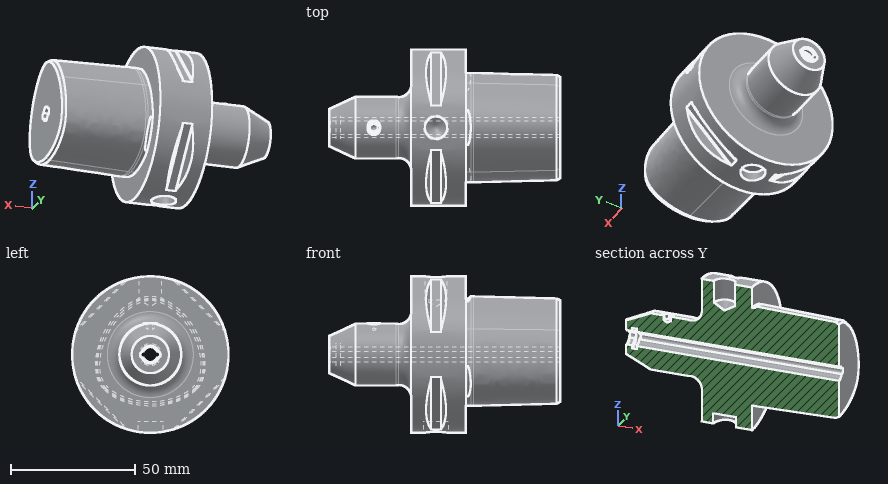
import cadquery as cq
import math

TOTAL_LENGTH = 93.0

TIP_RADIUS = 7.5
NOSE_RADIUS = 12.5
TIP_CONE_ANGLE = math.radians(25)
NOSE_END_X = 27.0
NECK_X = 28.0
NECK_RADIUS = 12.3
NECK_FILLET = 5.0

FLANGE_RADIUS = 31.5
FLANGE_FRONT_X = NECK_X + NECK_FILLET
FLANGE_BACK_X = 55.0
GROOVE_X = 43.0

GROOVE_FLOOR_RADIUS = 27.7
GROOVE_FLOOR_WIDTH = 4.0
GROOVE_WALL_HEIGHT = 0.5
GROOVE_TOP_WIDTH = 8.05
GROOVE_DIRECTIONS = (45, 135, 225, 315)

RIM_HOLE_RADIUS = 4.5
RIM_HOLE_FLOOR_RADIUS = 22.0
LOWER_HOLE_RADIUS = 5.0
LOWER_HOLE_DEPTH = 4.5
DRILL_POINT_ANGLE = math.radians(118)

POLYGON_RADIUS = 22.05
POLYGON_ECCENTRICITY = 1.4
COLLAR_END_X = 57.0
TAPER_START_X = 58.0
TAPER_SLOPE = 1 / 40
END_CHAMFER_LENGTH = 1.5
END_CHAMFER_INSET = 0.85
POLYGON_SEAM_ANGLES = (30, 150, 270)
SEGMENT_SPAN = 120
SEGMENT_STEPS = 16

RELIEF_RADIUS = 22.48
RELIEF_FILLET = 1.5
RELIEF_OUTER_RADIUS = 24.0

BORE_RADIUS = 3.0
MOUTH_CHAMFER = 0.55
RECESS_RADIUS = 4.4
RECESS_START_X = 2.7
RECESS_END_X = 4.7
SLOT_REACH = 4.05
SLOT_RADIUS = 1.25

SCREW_X = 18.0
SCREW_TOP_RADIUS = 2.46
SCREW_TOP_Z = 12.65
SCREW_CHAMFER = 0.54
SCREW_BOTTOM_Z = 8.0
SOCKET_WIDTH = 3.0
SOCKET_DEPTH = 2.0


def make_turned_body():
    """Nose cone, nose cylinder, filleted neck and flange as one turning."""
    cone_length = (NOSE_RADIUS - TIP_RADIUS) / math.tan(TIP_CONE_ANGLE)
    fillet_center = (NECK_X, NECK_RADIUS + NECK_FILLET)
    fillet_middle = (
        fillet_center[0] + NECK_FILLET * math.sin(math.pi / 4),
        fillet_center[1] - NECK_FILLET * math.cos(math.pi / 4),
    )
    return (
        cq.Workplane("XY")
        .moveTo(0, 0)
        .lineTo(0, TIP_RADIUS)
        .lineTo(cone_length, NOSE_RADIUS)
        .lineTo(NOSE_END_X, NOSE_RADIUS)
        .lineTo(NECK_X, NECK_RADIUS)
        .threePointArc(fillet_middle, (FLANGE_FRONT_X, NECK_RADIUS + NECK_FILLET))
        .lineTo(FLANGE_FRONT_X, FLANGE_RADIUS)
        .lineTo(FLANGE_BACK_X, FLANGE_RADIUS)
        .lineTo(FLANGE_BACK_X, 0)
        .close()
        .revolve(360, (0, 0, 0), (1, 0, 0))
    )


def polygon_point(mean_radius, angle_degrees):
    """Point (Y, Z) of the three-lobed curve, where its outward normal has this angle."""
    angle = math.radians(angle_degrees)
    support = mean_radius - POLYGON_ECCENTRICITY * math.sin(3 * angle)
    slope = -3 * POLYGON_ECCENTRICITY * math.cos(3 * angle)
    return (
        support * math.cos(angle) - slope * math.sin(angle),
        support * math.sin(angle) + slope * math.cos(angle),
    )


def polygon_wire(x, mean_radius):
    """Closed three-lobed section at x, split in the middle of each flat side."""
    edges = []
    for seam in POLYGON_SEAM_ANGLES:
        points = []
        for step in range(SEGMENT_STEPS + 1):
            angle = seam + SEGMENT_SPAN * step / SEGMENT_STEPS
            points.append(cq.Vector(x, *polygon_point(mean_radius, angle)))
        tangents = []
        for angle in (seam, seam + SEGMENT_SPAN):
            direction = math.radians(angle)
            tangents.append(cq.Vector(0, -math.sin(direction), math.cos(direction)))
        edges.append(cq.Edge.makeSpline(points, tangents=tangents))
    return cq.Wire.assembleEdges(edges)


def make_shank():
    """Straight collar, tapered polygon and end chamfer."""
    chamfer_x = TOTAL_LENGTH - END_CHAMFER_LENGTH
    taper_end_radius = POLYGON_RADIUS - TAPER_SLOPE * (chamfer_x - TAPER_START_X)
    sections = [
        polygon_wire(FLANGE_BACK_X, POLYGON_RADIUS),
        polygon_wire(COLLAR_END_X, POLYGON_RADIUS),
        polygon_wire(TAPER_START_X, POLYGON_RADIUS),
        polygon_wire(chamfer_x, taper_end_radius),
        polygon_wire(TOTAL_LENGTH, taper_end_radius - END_CHAMFER_INSET),
    ]
    return cq.Workplane(obj=cq.Solid.makeLoft(sections, True))


def make_corner_relief():
    """Ring beside the flange, rounded into a 45 degree run-out that meets the collar end."""
    run_out_angle = math.radians(45)
    half_angle = run_out_angle / 2
    arc_length = RELIEF_FILLET * math.sin(run_out_angle)
    arc_height = RELIEF_FILLET * (1 - math.cos(run_out_angle))
    total_height = POLYGON_RADIUS + POLYGON_ECCENTRICITY - RELIEF_RADIUS
    arc_end_x = COLLAR_END_X - (total_height - arc_height)
    arc_start_x = arc_end_x - arc_length
    arc_middle = (
        arc_start_x + RELIEF_FILLET * math.sin(half_angle),
        RELIEF_RADIUS + RELIEF_FILLET * (1 - math.cos(half_angle)),
    )
    ring_end_x = COLLAR_END_X + RELIEF_OUTER_RADIUS - RELIEF_RADIUS - total_height
    return (
        cq.Workplane("XY")
        .moveTo(FLANGE_BACK_X, RELIEF_RADIUS)
        .lineTo(arc_start_x, RELIEF_RADIUS)
        .threePointArc(arc_middle, (arc_end_x, RELIEF_RADIUS + arc_height))
        .lineTo(ring_end_x, RELIEF_OUTER_RADIUS)
        .lineTo(FLANGE_BACK_X, RELIEF_OUTER_RADIUS)
        .close()
        .revolve(360, (0, 0, 0), (1, 0, 0))
    )


def make_gripper_groove(direction):
    """Straight groove with a flat floor and sloped flanks, facing the given direction."""
    half_floor = GROOVE_FLOOR_WIDTH / 2
    flank_start = GROOVE_FLOOR_RADIUS + GROOVE_WALL_HEIGHT
    half_top = GROOVE_TOP_WIDTH / 2
    return (
        cq.Workplane("XZ")
        .moveTo(GROOVE_X - half_floor, GROOVE_FLOOR_RADIUS)
        .lineTo(GROOVE_X - half_floor, flank_start)
        .lineTo(GROOVE_X - half_top, FLANGE_RADIUS)
        .lineTo(GROOVE_X + half_top, FLANGE_RADIUS)
        .lineTo(GROOVE_X + half_floor, flank_start)
        .lineTo(GROOVE_X + half_floor, GROOVE_FLOOR_RADIUS)
        .close()
        .extrude(FLANGE_RADIUS, both=True)
        .rotate((0, 0, 0), (1, 0, 0), direction)
    )


def make_rim_hole():
    """Radial blind hole from the top of the flange, with a drill-point floor."""
    point_depth = RIM_HOLE_RADIUS / math.tan(DRILL_POINT_ANGLE / 2)
    return (
        cq.Workplane("XZ")
        .moveTo(GROOVE_X, RIM_HOLE_FLOOR_RADIUS - point_depth)
        .lineTo(GROOVE_X + RIM_HOLE_RADIUS, RIM_HOLE_FLOOR_RADIUS)
        .lineTo(GROOVE_X + RIM_HOLE_RADIUS, FLANGE_RADIUS)
        .lineTo(GROOVE_X, FLANGE_RADIUS)
        .close()
        .revolve(360, (GROOVE_X, 0, 0), (GROOVE_X, 1, 0))
    )


def make_lower_hole():
    """Flat-bottomed radial hole from the underside of the flange."""
    return (
        cq.Workplane("XY", origin=(GROOVE_X, 0, -FLANGE_RADIUS))
        .circle(LOWER_HOLE_RADIUS)
        .extrude(LOWER_HOLE_DEPTH)
    )


def make_bore():
    """Through bore with a chamfered mouth, a ring recess and two side slots along it."""
    bore = (
        cq.Workplane("XY")
        .moveTo(0, 0)
        .lineTo(0, BORE_RADIUS + MOUTH_CHAMFER)
        .lineTo(MOUTH_CHAMFER, BORE_RADIUS)
        .lineTo(RECESS_START_X, BORE_RADIUS)
        .lineTo(RECESS_START_X, RECESS_RADIUS)
        .lineTo(RECESS_END_X, RECESS_RADIUS)
        .lineTo(RECESS_END_X, BORE_RADIUS)
        .lineTo(TOTAL_LENGTH, BORE_RADIUS)
        .lineTo(TOTAL_LENGTH, 0)
        .close()
        .revolve(360, (0, 0, 0), (1, 0, 0))
    )
    slot_offset = SLOT_REACH - SLOT_RADIUS
    slots = (
        cq.Workplane("YZ")
        .pushPoints([(-slot_offset, 0), (slot_offset, 0)])
        .circle(SLOT_RADIUS)
        .extrude(TOTAL_LENGTH)
    )
    return bore.union(slots)


def make_screw():
    """Clamping screw standing slightly proud of the nose, with a chamfered top."""
    return (
        cq.Workplane("XY", origin=(SCREW_X, 0, SCREW_BOTTOM_Z))
        .circle(SCREW_TOP_RADIUS + SCREW_CHAMFER)
        .extrude(SCREW_TOP_Z - SCREW_BOTTOM_Z)
        .faces(">Z")
        .chamfer(SCREW_CHAMFER)
    )


def make_screw_socket():
    """Hexagon socket with two sides facing along X and a conical floor."""
    corner_radius = SOCKET_WIDTH / math.sqrt(3)
    floor_z = SCREW_TOP_Z - SOCKET_DEPTH
    point_depth = corner_radius / math.tan(DRILL_POINT_ANGLE / 2)
    hexagon = (
        cq.Workplane("XY", origin=(SCREW_X, 0, floor_z - point_depth))
        .transformed(rotate=(0, 0, 90))
        .polygon(6, 2 * corner_radius)
        .extrude(SOCKET_DEPTH + point_depth)
    )
    drilled = (
        cq.Workplane("XZ")
        .moveTo(SCREW_X, floor_z - point_depth)
        .lineTo(SCREW_X + corner_radius, floor_z)
        .lineTo(SCREW_X + corner_radius, SCREW_TOP_Z)
        .lineTo(SCREW_X, SCREW_TOP_Z)
        .close()
        .revolve(360, (SCREW_X, 0, 0), (SCREW_X, 1, 0))
    )
    return hexagon.intersect(drilled)


shank = make_shank().cut(make_corner_relief())
result = make_turned_body().union(shank, clean=False)

for groove_direction in GROOVE_DIRECTIONS:
    result = result.cut(make_gripper_groove(groove_direction), clean=False)

result = result.cut(make_rim_hole(), clean=False)
result = result.cut(make_lower_hole(), clean=False)

result = result.union(make_screw(), clean=False)
result = result.cut(make_screw_socket(), clean=False)
result = result.cut(make_bore(), clean=False)